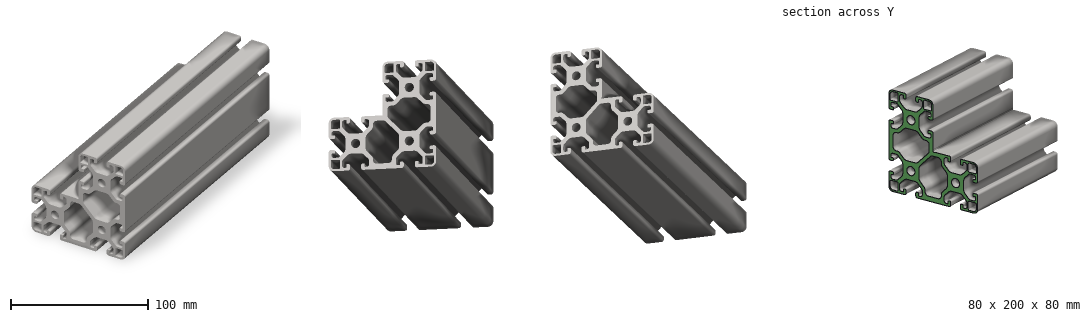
import cadquery as cq
import math

length = 200.0
cell = 40.0
half_cell = cell / 2
corner_radius = 4.0
bore_diameter = 6.8

relief_width = 1.5
relief_floor = 1.0
relief_depth = 0.2

mouth_width = 8.2
mouth_half = mouth_width / 2
lip_half = 6.8
slot_half = 10.0
lip_height = 4.8
lip_depth = half_cell - lip_height
lip_thickness = 2.2
hook_depth = half_cell - lip_thickness
core_width = 15.0
core_half = core_width / 2
web_offset = 2.5
lip_face_radius = 1.5
lip_end_radius = 1.2
lip_back_radius = 0.5
hook_radius = 1.5
slot_bend_radius = 2.5
core_bend_radius = 4.0

pocket_wall = 1.5
pocket_far = 8.5
pocket_outer_radius = corner_radius - pocket_wall
pocket_inner_radius = 0.5

cavity_wall = 4.2
notch_wall = 3.8
cavity_half = 7.0
cavity_radius = 2.5
cavity_bend_radius = 4.0
cavity_web_offset = 2.2
diagonal_offset = 2.2

DOWN, RIGHT, UP, LEFT = (0, -1), (1, 0), (0, 1), (-1, 0)
corner_cell = (half_cell, -half_cell)
left_cell = (-half_cell, -half_cell)
upper_cell = (half_cell, half_cell)


def rounded_outline(corners):
    """Closed outline in the XZ plane through (x, z, radius) corners.

    Corners are rounded by tangent arcs; radius 0 stays sharp.
    """
    arcs = []
    count = len(corners)
    for i, (x, z, radius) in enumerate(corners):
        here = cq.Vector(x, z)
        before = (cq.Vector(*corners[i - 1][:2]) - here).normalized()
        after = (cq.Vector(*corners[(i + 1) % count][:2]) - here).normalized()
        half_angle = before.getAngle(after) / 2
        reach = radius / math.tan(half_angle)
        bisector = (before + after).normalized()
        middle = here + bisector * (radius / math.sin(half_angle) - radius)
        arcs.append([p.toTuple()[:2] for p in (here + before * reach, middle, here + after * reach)])

    outline = cq.Workplane("XZ").moveTo(*arcs[-1][-1])
    for (_, _, radius), (start, middle, end) in zip(corners, arcs):
        outline = outline.lineTo(*start)
        if radius > 0:
            outline = outline.threePointArc(middle, end)
    return outline.close()


def bar(corners):
    """Outline extruded over the full length, centred on the XZ plane."""
    return rounded_outline(corners).extrude(length / 2, both=True)


def slot(center, outward):
    """Corners of one T-slot, walking counter-clockwise around the profile."""
    half = [
        (mouth_half, half_cell, lip_face_radius),
        (mouth_half, lip_depth, lip_end_radius),
        (lip_half, lip_depth, lip_back_radius),
        (lip_half, hook_depth, lip_back_radius),
        (slot_half, hook_depth, hook_radius),
        (slot_half, slot_half + web_offset, slot_bend_radius),
        (core_half - web_offset, core_half, core_bend_radius),
    ]
    path = [(-side, depth, radius) for side, depth, radius in half] + half[::-1]
    out_x, out_z = outward
    return [
        (center[0] - side * out_z + depth * out_x, center[1] + side * out_x + depth * out_z, radius)
        for side, depth, radius in path
    ]


def corner_pocket(corner_x, corner_z, inward_x, inward_z):
    """Square hollow tucked behind a rounded outer corner."""
    near, far = pocket_wall, pocket_far
    offsets = [
        (near, near, pocket_outer_radius),
        (far, near, pocket_inner_radius),
        (far, far, pocket_inner_radius),
        (near, far, pocket_inner_radius),
    ]
    return bar([(corner_x + a * inward_x, corner_z + b * inward_z, radius) for a, b, radius in offsets])


notch_relief = [
    (0, relief_width, 0),
    (relief_depth, relief_floor, 0),
    (relief_depth, -relief_depth, 0),
    (-relief_floor, -relief_depth, 0),
    (-relief_width, 0, 0),
]

outer = (
    [(-cell, -cell, corner_radius)]
    + slot(left_cell, DOWN)
    + slot(corner_cell, DOWN)
    + [(cell, -cell, corner_radius)]
    + slot(corner_cell, RIGHT)
    + slot(upper_cell, RIGHT)
    + [(cell, cell, corner_radius)]
    + slot(upper_cell, UP)
    + [(0, cell, corner_radius)]
    + slot(upper_cell, LEFT)
    + notch_relief
    + slot(left_cell, UP)
    + [(-cell, 0, corner_radius)]
    + slot(left_cell, LEFT)
)
result = bar(outer)

for x, z, inward_x, inward_z in [
    (-cell, -cell, 1, 1),
    (cell, -cell, -1, 1),
    (cell, cell, -1, -1),
    (0, cell, 1, -1),
    (-cell, 0, 1, -1),
]:
    result = result.cut(corner_pocket(x, z, inward_x, inward_z))

core_side = half_cell - core_half
bend = core_half - cavity_web_offset
shoulder = half_cell - cavity_half - cavity_web_offset
lower_cavity = [
    (-cavity_half, -cell + cavity_wall, cavity_radius),
    (cavity_half, -cell + cavity_wall, cavity_radius),
    (cavity_half, -half_cell - shoulder, cavity_bend_radius),
    (core_side, -half_cell - bend, cavity_bend_radius),
    (core_side, -core_side - diagonal_offset, cavity_bend_radius),
    (notch_wall - diagonal_offset, -notch_wall, cavity_radius),
    (-cavity_half, -notch_wall, cavity_radius),
    (-cavity_half, -half_cell + shoulder, cavity_bend_radius),
    (-core_side, -half_cell + bend, cavity_bend_radius),
    (-core_side, -half_cell - bend, cavity_bend_radius),
    (-cavity_half, -half_cell - shoulder, cavity_bend_radius),
]
upper_cavity = [(-z, -x, radius) for x, z, radius in lower_cavity]
result = result.cut(bar(lower_cavity)).cut(bar(upper_cavity))

bores = (
    cq.Workplane("XZ")
    .pushPoints([left_cell, corner_cell, upper_cell])
    .circle(bore_diameter / 2)
    .extrude(length / 2, both=True)
)
result = result.cut(bores)